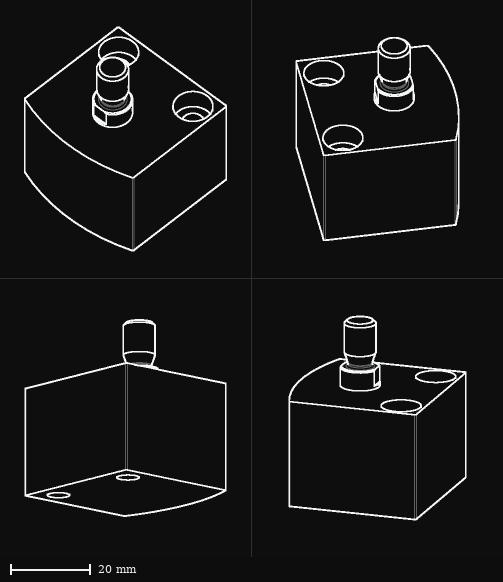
import cadquery as cq

block_width = 38.0
block_depth = 37.02
block_height = 27.5
front_bow = 3.4
corner_radius = 0.35

hole_diameter = 5.5
bore_diameter = 10.0
bore_depth = 5.7
hole_spacing = 26.0
hole_back_inset = 6.0

overall_height = 44.5
rod_back_inset = 21.5
collar_diameter = 10.0
collar_height = 5.05
collar_chamfer = 0.3
flat_width = 9.0
flat_start_height = 0.8
neck_diameter = 6.2
neck_fillet_radius = 0.5
neck_height = 1.0
thread_diameter = 8.0
thread_start_height = 8.68
thread_chamfer = 0.75

edge_margin = 0.05

half_width = block_width / 2
back_y = rod_back_inset
front_y = back_y - block_depth
front_corner_y = front_y + front_bow
rod_height = overall_height - block_height


def make_block():
    """Block with a bowed front and two counterbored through holes."""
    outline = (
        cq.Workplane("XY")
        .moveTo(-half_width, back_y)
        .lineTo(-half_width, front_corner_y)
        .threePointArc((0, front_y), (half_width, front_corner_y))
        .lineTo(half_width, back_y)
        .close()
    )
    body = outline.extrude(block_height).edges("|Z").fillet(corner_radius)
    hole_y = back_y - hole_back_inset
    return (
        body.faces(">Z")
        .workplane(origin=(0, 0, block_height))
        .pushPoints([(side * hole_spacing / 2, hole_y) for side in (-1, 1)])
        .cboreHole(hole_diameter, bore_diameter, bore_depth)
    )


def make_turned_rod():
    """Collar, undercut neck and threaded end as one revolved profile."""
    collar_radius = collar_diameter / 2
    neck_radius = neck_diameter / 2
    thread_radius = thread_diameter / 2
    profile = (
        cq.Workplane("XZ")
        .lineTo(collar_radius, 0)
        .lineTo(collar_radius, collar_height - collar_chamfer)
        .lineTo(collar_radius - collar_chamfer, collar_height)
        .lineTo(neck_radius + neck_fillet_radius, collar_height)
        .radiusArc((neck_radius, collar_height + neck_fillet_radius), neck_fillet_radius)
        .lineTo(neck_radius, collar_height + neck_height)
        .lineTo(thread_radius, thread_start_height)
        .lineTo(thread_radius, rod_height - thread_chamfer)
        .lineTo(thread_radius - thread_chamfer, rod_height)
        .lineTo(0, rod_height)
        .close()
    )
    turned = profile.revolve(360, (0, 0, 0), (0, 1, 0))
    neck_top = cq.selectors.BoxSelector(
        (-collar_radius, -collar_radius, collar_height + neck_height - edge_margin),
        (collar_radius, collar_radius, collar_height + neck_height + edge_margin),
        boundingbox=True,
    )
    return turned.edges(neck_top).fillet(neck_fillet_radius)


def cut_wrench_flats(rod):
    """Two parallel flats across the collar, facing front and back."""
    cut_depth = (collar_diameter - flat_width) / 2
    cut_height = collar_height - flat_start_height
    for side in (-1, 1):
        cutter = (
            cq.Workplane("XY")
            .box(collar_diameter, cut_depth, cut_height, centered=(True, True, False))
            .translate((0, side * (flat_width + cut_depth) / 2, flat_start_height))
        )
        rod = rod.cut(cutter)
    return rod


block = make_block()
rod = cut_wrench_flats(make_turned_rod()).translate((0, 0, block_height))

result = cq.Compound.makeCompound([block.val(), rod.val()])